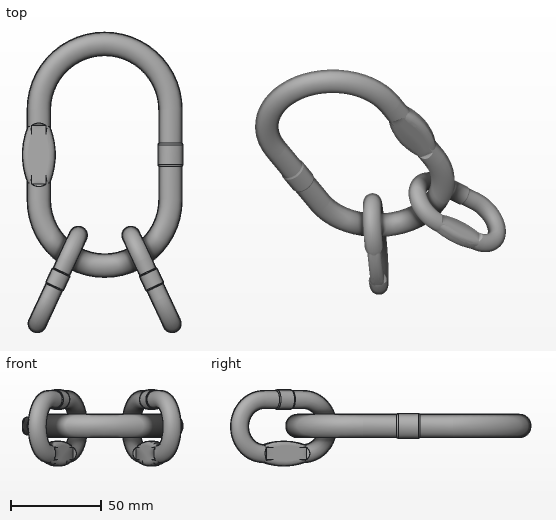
import cadquery as cq
import math

MASTER = dict(
    bar_diameter=13.0,
    bend_radius=36.5,
    straight_length=50.0,
    collar_diameter=14.0,
    collar_length=11.0,
    collar_taper=1.0,
    bulge_width=18.3,
    bulge_length=29.0,
    bulge_thickness=10.2,
    bulge_round=3.3,
    flat_length=32.3,
)

SUB = dict(
    bar_diameter=10.0,
    bend_radius=15.0,
    straight_length=24.0,
    collar_diameter=10.8,
    collar_length=8.3,
    collar_taper=0.7,
    bulge_width=13.8,
    bulge_length=23.7,
    bulge_thickness=7.3,
    bulge_round=2.5,
    flat_length=24.7,
)
SUB_SPREAD_ANGLE = 25.0
SUB_CENTRE_X = 26.0
SUB_CENTRE_Y = -69.1
SUB_CENTRE_Z = -0.3

BULGE_END_RATIO = 0.8


def make_bar(bar_diameter, bend_radius, straight_length):
    """Closed oval of round bar, long axis along Y, centred on the origin."""
    half = straight_length / 2
    path = (
        cq.Workplane("XY")
        .moveTo(bend_radius, -half)
        .lineTo(bend_radius, half)
        .threePointArc((0, half + bend_radius), (-bend_radius, half))
        .lineTo(-bend_radius, -half)
        .threePointArc((0, -half - bend_radius), (bend_radius, -half))
        .close()
    )
    section = cq.Workplane("XZ", origin=(bend_radius, -half, 0)).circle(bar_diameter / 2)
    return section.sweep(path)


def make_collar(x, bar_diameter, diameter, length, taper):
    """Weld collar around the straight bar at x, with tapered ends."""
    bar_radius = bar_diameter / 2
    radius = diameter / 2
    half = length / 2
    return (
        cq.Workplane("XY", origin=(x, 0, 0))
        .polyline([
            (0, -half - taper),
            (bar_radius, -half - taper),
            (radius, -half),
            (radius, half),
            (bar_radius, half + taper),
            (0, half + taper),
        ])
        .close()
        .revolve(360, (0, 0, 0), (0, 1, 0))
    )


def make_bulge(x, bar_diameter, width, length, thickness, edge_round):
    """Flattened bar with bowed sides that emerge from the bar over the given length."""
    bar_radius = bar_diameter / 2
    rise = width / 2 - bar_radius
    bow_radius = ((length / 2) ** 2 + rise ** 2) / (2 * rise)
    end_half_width = BULGE_END_RATIO * bar_radius
    full_rise = width / 2 - end_half_width
    end_y = math.sqrt(bow_radius ** 2 - (bow_radius - full_rise) ** 2)
    return (
        cq.Workplane("XY", origin=(x, 0, 0))
        .moveTo(end_half_width, -end_y)
        .threePointArc((width / 2, 0), (end_half_width, end_y))
        .lineTo(-end_half_width, end_y)
        .threePointArc((-width / 2, 0), (-end_half_width, -end_y))
        .close()
        .extrude(thickness / 2, both=True)
        .edges("%CIRCLE")
        .fillet(edge_round)
    )


def make_flat_cut(x, bar_diameter, thickness, length, side):
    """Material above one flat of the bar; the ends of the cut slope at 45 degrees."""
    floor = thickness / 2
    depth = bar_diameter / 2 - floor
    half = length / 2
    return (
        cq.Workplane("YZ", origin=(x, 0, 0))
        .polyline([
            (-half, side * floor),
            (half, side * floor),
            (half + depth, side * (floor + depth)),
            (-half - depth, side * (floor + depth)),
        ])
        .close()
        .extrude(bar_diameter / 2, both=True)
    )


def make_link(size):
    """Complete link lying in XY: tag bulge on the -X side, weld collar on the +X side."""
    bar_diameter = size["bar_diameter"]
    bend_radius = size["bend_radius"]
    thickness = size["bulge_thickness"]

    link = make_bar(bar_diameter, bend_radius, size["straight_length"])
    for side in (-1, 1):
        link = link.cut(make_flat_cut(-bend_radius, bar_diameter, thickness, size["flat_length"], side))
    bulge = make_bulge(
        -bend_radius, bar_diameter, size["bulge_width"], size["bulge_length"], thickness, size["bulge_round"]
    )
    collar = make_collar(
        bend_radius, bar_diameter, size["collar_diameter"], size["collar_length"], size["collar_taper"]
    )
    return link.union(bulge).union(collar)


def make_sub_link(side):
    """Sub-link with its collar upwards, splayed away from the centre on the given X side."""
    return (
        make_link(SUB)
        .rotate((0, 0, 0), (0, 1, 0), -90)
        .rotate((0, 0, 0), (0, 0, 1), side * SUB_SPREAD_ANGLE)
        .translate((side * SUB_CENTRE_X, SUB_CENTRE_Y, SUB_CENTRE_Z))
    )


master_link = make_link(MASTER)
sub_links = [make_sub_link(side) for side in (-1, 1)]

result = cq.Compound.makeCompound([
    master_link.solids().val(),
    *[sub_link.solids().val() for sub_link in sub_links],
])